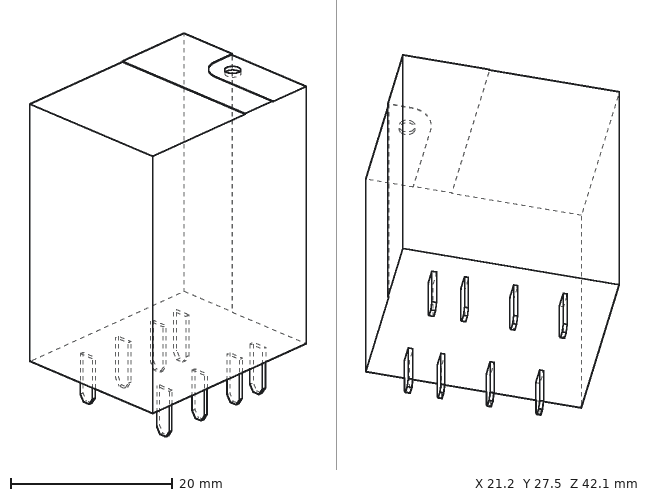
import cadquery as cq

width = 21.2
depth = 27.5
total_height = 42.1

pin_length = 6.5
plate_rise = 0.1
strip_rise = 0.1
plate_depth = 11.0
case_height = total_height - pin_length
block_height = case_height - plate_rise
block_depth = depth - strip_rise

notch_width = 12.85
notch_depth = 6.1
notch_radius = 3.1

hole_diameter = 2.0
hole_depth = 0.5
hole_inset_x = 3.05
hole_inset_y = 3.1

pin_width = 2.15
pin_tip_width = 1.0
pin_tip_height = 0.9
pin_row_spacing = 13.2
pin_thickness = 0.5
rear_pin_thickness = 0.6
rear_pin_y = 9.1
front_pin_ys = (5.0, -1.25, -7.55)

right_x = width / 2
rear_y = depth / 2
front_y = -depth / 2
notch_left_x = right_x - notch_width
notch_front_y = rear_y - notch_depth


def plain_box(x_range, y_range, z_range):
    """Box filling the given (low, high) ranges."""
    corner = (x_range[0], y_range[0], z_range[0])
    return cq.Workplane("XY").box(
        x_range[1] - x_range[0],
        y_range[1] - y_range[0],
        z_range[1] - z_range[0],
        centered=False,
    ).translate(corner)


def make_case():
    """Block with the stepped top and rear, resting on Z = 0."""
    case = plain_box((-right_x, right_x), (front_y, rear_y), (0, block_height))
    plate = plain_box((-right_x, right_x), (rear_y - plate_depth, rear_y), (block_height, case_height))
    notch = plain_box((notch_left_x, right_x), (notch_front_y, rear_y), (block_height, case_height))
    notch = notch.edges("|Z and <X and <Y").fillet(notch_radius)
    rear_step = plain_box((notch_left_x, right_x), (front_y + block_depth, rear_y), (0, case_height))
    return case.union(plate).cut(notch).cut(rear_step)


def make_hole():
    """Blind hole near the centre of the notch corner arc."""
    return (
        cq.Workplane("XY", origin=(0, 0, block_height))
        .center(notch_left_x + hole_inset_x, rear_y - hole_inset_y)
        .circle(hole_diameter / 2)
        .extrude(-hole_depth)
    )


def make_pin(x, y, thickness):
    """Flat pin hanging below the case, with a chamfered tip."""
    half = pin_width / 2
    half_tip = pin_tip_width / 2
    shoulder_z = pin_tip_height - pin_length
    outline = [
        (-half, 0),
        (-half, shoulder_z),
        (-half_tip, -pin_length),
        (half_tip, -pin_length),
        (half, shoulder_z),
        (half, 0),
    ]
    pin = cq.Workplane("XZ").polyline(outline).close().extrude(thickness / 2, both=True)
    return pin.translate((x, y, 0))


result = make_case().cut(make_hole())
for side in (-1, 1):
    pin_x = side * pin_row_spacing / 2
    result = result.union(make_pin(pin_x, rear_pin_y, rear_pin_thickness))
    for pin_y in front_pin_ys:
        result = result.union(make_pin(pin_x, pin_y, pin_thickness))